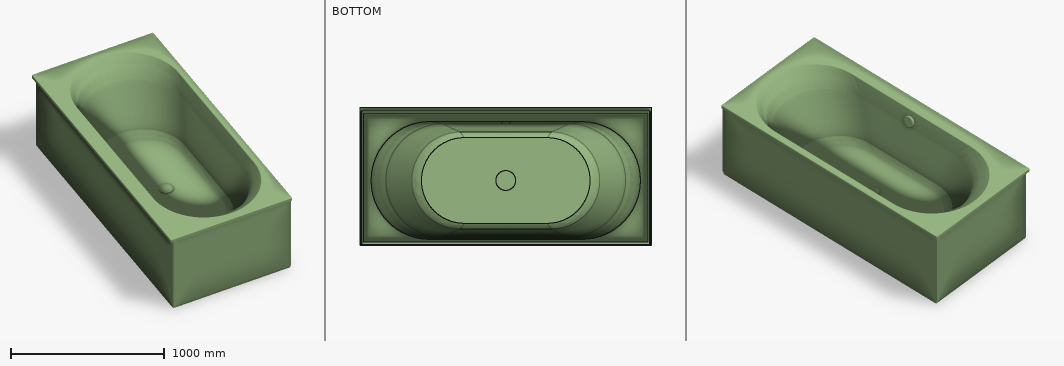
import cadquery as cq
import math

LENGTH = 1900.0
WIDTH = 900.0
HEIGHT = 600.0

RIM_THICKNESS = 25.0
RIM_CORNER_RADIUS = 8.0
RIM_EDGE_RADIUS = 5.0

BASIN_CENTER_Y = 27.0
MOUTH = (897.0, 375.0)
SHOULDER = (765.0, 353.0)
WALL_FOOT = (597.0, 300.0)
FLOOR = (534.0, 265.0)
SHOULDER_DEPTH = 133.0
WALL_FOOT_DEPTH = 425.0
FLOOR_DEPTH = 456.0
LIP_BULGE = 15.0
FLOOR_BULGE = 11.0
BASIN_WALL = 15.0

SKIRT_SIDE_INSET = 8.0
SKIRT_FRONT_INSET = 23.0
SKIRT_THICKNESS = 15.0
SKIRT_CORNER_RADIUS = 11.0
TOE_HEIGHT = 17.0
TOE_SIDE_INSET = 5.0
TOE_FRONT_INSET = 2.0

DRAIN_RADIUS = 65.0
DRAIN_RECESS = 11.0
DRAIN_DISH_DEPTH = 8.0
DRAIN_PLUG_RADIUS = 45.0
DRAIN_DOME_HEIGHT = 8.0

OVERFLOW_DEPTH = 85.0
OVERFLOW_RADIUS = 40.0
OVERFLOW_RECESS = 5.0
OVERFLOW_PROJECTION = 19.0
OVERFLOW_EDGE_RADIUS = 5.0

RIM_BOTTOM = HEIGHT - RIM_THICKNESS
FLOOR_Z = HEIGHT - FLOOR_DEPTH


def halfway(upper, lower, bulge):
    """Half sizes midway between two outlines, moved outward by the bulge in X and in proportion in Y."""
    share = 0.5 + bulge / (upper[0] - lower[0])
    return (
        lower[0] + share * (upper[0] - lower[0]),
        lower[1] + share * (upper[1] - lower[1]),
    )


def basin_outline(half_size, depth, margin):
    """Wire of two straight sides and two round ends at a depth below the rim."""
    half_length = half_size[0] + margin
    half_width = half_size[1] + margin
    plane = cq.Workplane("XY", origin=(0, BASIN_CENTER_Y, HEIGHT - depth))
    return plane.slot2D(2 * half_length, 2 * half_width).val()


def basin_band(levels, margin):
    """Solid whose side runs through the outlines at the given (half size, depth) levels."""
    outlines = [basin_outline(half_size, depth, margin) for half_size, depth in levels]
    straight_sided = len(outlines) == 2
    return cq.Workplane(cq.Solid.makeLoft(outlines, straight_sided))


def basin_volume(margin, bottom_extension):
    """Lip, straight wall and rounded foot of the basin, grown sideways and downwards."""
    lip = basin_band(
        [
            (MOUTH, 0),
            (halfway(MOUTH, SHOULDER, -LIP_BULGE), SHOULDER_DEPTH / 2),
            (SHOULDER, SHOULDER_DEPTH),
        ],
        margin,
    )
    wall = basin_band([(SHOULDER, SHOULDER_DEPTH), (WALL_FOOT, WALL_FOOT_DEPTH)], margin)
    foot_middle_depth = (WALL_FOOT_DEPTH + FLOOR_DEPTH) / 2
    foot = basin_band(
        [
            (WALL_FOOT, WALL_FOOT_DEPTH),
            (halfway(WALL_FOOT, FLOOR, FLOOR_BULGE), foot_middle_depth + bottom_extension / 2),
            (FLOOR, FLOOR_DEPTH + bottom_extension),
        ],
        margin,
    )
    return lip.union(wall).union(foot)


def make_rim():
    rim = cq.Workplane("XY", origin=(0, 0, RIM_BOTTOM)).rect(LENGTH, WIDTH).extrude(RIM_THICKNESS)
    rim = rim.edges("|Z").fillet(RIM_CORNER_RADIUS)
    return rim.faces(">Z").edges().fillet(RIM_EDGE_RADIUS)


def make_overflow():
    """Round cap whose axis is square to the front wall of the basin."""
    wall_drop = WALL_FOOT_DEPTH - SHOULDER_DEPTH
    wall_run = SHOULDER[1] - WALL_FOOT[1]
    wall_slope = wall_run / wall_drop
    wall_half_width = SHOULDER[1] + wall_slope * (SHOULDER_DEPTH - OVERFLOW_DEPTH)
    wall_point = (0, BASIN_CENTER_Y - wall_half_width, HEIGHT - OVERFLOW_DEPTH)
    plane = cq.Plane(origin=wall_point, xDir=(1, 0, 0), normal=(0, 1, wall_slope))
    cap = (
        cq.Workplane(plane)
        .workplane(offset=-OVERFLOW_RECESS)
        .circle(OVERFLOW_RADIUS)
        .extrude(OVERFLOW_RECESS + OVERFLOW_PROJECTION)
    )
    return cap.edges(cq.selectors.DirectionMinMaxSelector(plane.zDir, True)).fillet(OVERFLOW_EDGE_RADIUS)


def make_drain():
    """Conical dish sinking to a domed plug, turned about the vertical axis."""
    sphere_radius = (DRAIN_PLUG_RADIUS**2 + DRAIN_DOME_HEIGHT**2) / (2 * DRAIN_DOME_HEIGHT)
    half_angle = math.asin(DRAIN_PLUG_RADIUS / sphere_radius) / 2
    dome_middle = (
        sphere_radius * math.sin(half_angle),
        DRAIN_DOME_HEIGHT - sphere_radius * (1 - math.cos(half_angle)),
    )
    profile = (
        cq.Workplane("XZ", origin=(0, BASIN_CENTER_Y, FLOOR_Z))
        .moveTo(0, -DRAIN_RECESS)
        .lineTo(DRAIN_RADIUS, -DRAIN_RECESS)
        .lineTo(DRAIN_RADIUS, 0)
        .lineTo(DRAIN_PLUG_RADIUS, -DRAIN_DISH_DEPTH)
        .lineTo(DRAIN_PLUG_RADIUS, 0)
        .threePointArc(dome_middle, (0, DRAIN_DOME_HEIGHT))
        .close()
    )
    return profile.revolve(360, (0, 0, 0), (0, 1, 0))


def make_tub(overflow):
    """Rim with the basin shell hanging from it, recessed for the overflow and the drain."""
    shell = basin_volume(BASIN_WALL, BASIN_WALL)
    tub = make_rim().union(shell).cut(basin_volume(0, 0))
    mouth_edges = tub.faces(">Z").wires(cq.selectors.LengthNthSelector(0)).edges()
    tub = tub.newObject(mouth_edges.vals()).fillet(RIM_EDGE_RADIUS)
    drain_seat = (
        cq.Workplane("XY", origin=(0, BASIN_CENTER_Y, FLOOR_Z - DRAIN_RECESS))
        .circle(DRAIN_RADIUS)
        .extrude(DRAIN_RECESS)
    )
    return tub.cut(overflow).cut(drain_seat)


def skirt_block(side_inset, front_inset, back_inset, bottom, top):
    """Box between two heights, set in from the outer faces of the skirt."""
    half_length = LENGTH / 2 - SKIRT_SIDE_INSET - side_inset
    front = -WIDTH / 2 + SKIRT_FRONT_INSET + front_inset
    back = WIDTH / 2 - SKIRT_SIDE_INSET - back_inset
    corner = cq.Workplane("XY", origin=(-half_length, front, bottom))
    return corner.box(2 * half_length, back - front, top - bottom, centered=False)


def make_skirt():
    """Closed ring of panels under the rim, rounded at the two front corners, on a recessed toe."""
    panels = skirt_block(0, 0, 0, TOE_HEIGHT, RIM_BOTTOM)
    panels = panels.faces("<Y").edges("|Z").fillet(SKIRT_CORNER_RADIUS)
    toe = skirt_block(TOE_SIDE_INSET, TOE_FRONT_INSET, 0, 0, TOE_HEIGHT)
    inside = skirt_block(SKIRT_THICKNESS, SKIRT_THICKNESS, SKIRT_THICKNESS, 0, RIM_BOTTOM)
    return panels.union(toe).cut(inside)


overflow = make_overflow()
drain = make_drain()
tub = make_tub(overflow)
skirt = make_skirt()

result = cq.Compound.makeCompound([tub.val(), skirt.val(), drain.val(), overflow.val()])